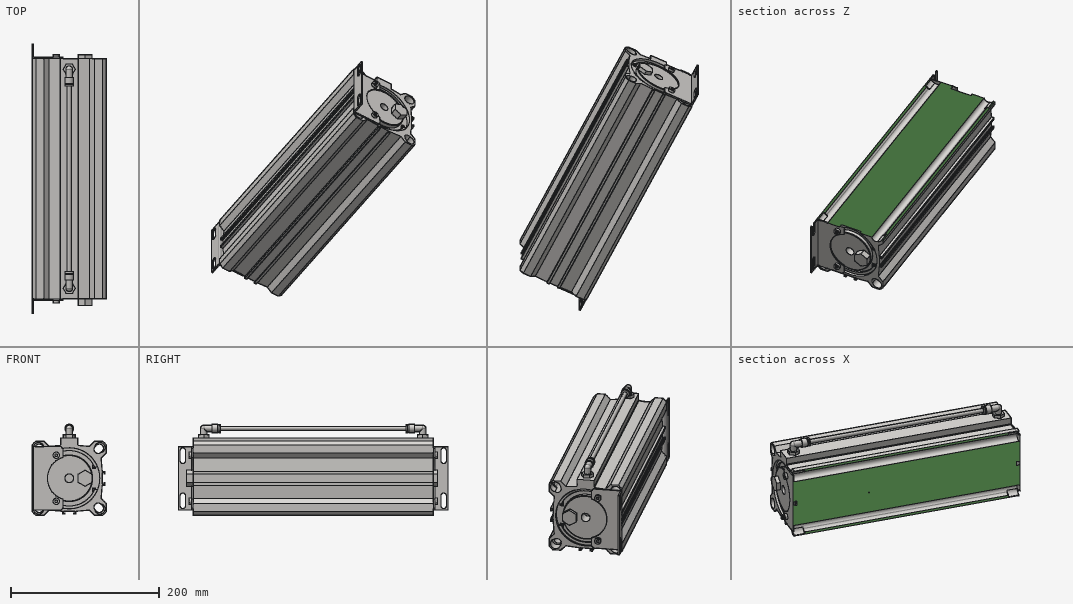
import cadquery as cq
import math

HALF_SIDE = 50.0
BODY_HALF_LENGTH = 161.5
TOTAL_HALF_LENGTH = 362.5 / 2
TOP_Z = 72.8

LUG_CHAMFER = 5.0
LUG_INNER = 34.0
LUG_ROOT = 27.0
FLANK_EDGE = 43.0
FLANK_MID = 44.5
RAIL_INNER = 6.0
RAIL_WIDTH = 3.4
FLAT_HALF_WIDTH = RAIL_INNER + RAIL_WIDTH
RAIL_TIP = 48.2
RAIL_WALL = 1.8
SPINE_HALF_WIDTH = 11.7
SPINE_TOP = 54.4
SPINE_FOOT_CHAMFER = 1.0

BOLT_HOLE_DIAMETER = 11.0
BOLT_HOLE_INNER = 38.9
BOLT_HOLE_OUTER = 40.4
COUNTERBORE_DIAMETER = 13.8
COUNTERBORE_CENTRE = 41.2
COUNTERBORE_DEPTH = 15.0

RECESS_DIAMETER = 82.1
RECESS_DEPTH = 6.0
CAP_DIAMETER = 62.8
CAP_CHAMFER = 0.8
RING_INNER_DIAMETER = 74.6
RING_THICKNESS = 2.5
EAR_SIZE = 4.4
EAR_X = 33.4
EAR_Z = 15.4
EAR_HOLE_DIAMETER = 3.0
PORT_DIAMETER = 11.8
PORT_DEPTH = 20.0
PLUG_X = 21.3
PLUG_FLATS = 18.8
PLUG_HEIGHT_FRONT = 9.0
PLUG_HEIGHT_BACK = 5.3

SHEET = 2.0
BEND_RADIUS = SHEET
BRACKET_HALF_HEIGHT = 42.7
BRACKET_EDGE_X = -8.1
BRACKET_CORNER = 3.0
BRACKET_CUTOUT_RADIUS = 29.3
SLOT_WIDTH = 7.1
SLOT_LENGTH = 20.6
SLOT_Z = 30.3
SLOT_END_DISTANCE = 5.95
SCREW_X = -17.5
SCREW_Z = 31.0
SCREW_DIAMETER = 8.5
SCREW_HEIGHT = 3.5
SOCKET_DIAMETER = 3.6
SOCKET_DEPTH = 1.5

FITTING_Y = 147.2
NUT_FLATS = 14.2
NUT_HEIGHT = 4.3
ELBOW_DIAMETER = 9.0
COLLAR_DIAMETER = 11.8
COLLAR_START = 136.2
COLLAR_END = 128.4
NECK_DIAMETER = 10.4
FLANGE_DIAMETER = 11.44
FLANGE_START = 127.0
FLANGE_END = 124.8
TUBE_DIAMETER = 6.0
TUBE_Z = TOP_Z - COLLAR_DIAMETER / 2

SIGNS = (-1, 1)


def rod(diameter, x, z, y_start, y_end):
    """Cylinder parallel to Y between two Y positions."""
    sketch = cq.Workplane("XZ", origin=(x, y_start, z)).circle(diameter / 2)
    return sketch.extrude(y_start - y_end)


def block(x_range, y_range, z_range):
    """Box given by its limits along each axis."""
    limits = (x_range, y_range, z_range)
    size = [high - low for low, high in limits]
    low_corner = [low for low, high in limits]
    return cq.Workplane("XY").box(*size, centered=False).translate(low_corner)


def mirrored(solid):
    """The solid together with its copy on the other end of the cylinder."""
    return solid.union(solid.mirror("XZ"))


def body_prism(outline):
    """Body-long prism of an outline in the XZ plane."""
    sketch = cq.Workplane("XZ", origin=(0, BODY_HALF_LENGTH, 0)).polyline(outline).close()
    return sketch.extrude(2 * BODY_HALF_LENGTH)


def make_body():
    side = [
        (-FLAT_HALF_WIDTH, FLANK_MID),
        (FLAT_HALF_WIDTH, FLANK_MID),
        (LUG_ROOT, FLANK_EDGE),
        (LUG_INNER, HALF_SIDE),
        (HALF_SIDE - LUG_CHAMFER, HALF_SIDE),
        (HALF_SIDE, HALF_SIDE - LUG_CHAMFER),
        (HALF_SIDE, LUG_INNER),
        (FLANK_EDGE, LUG_ROOT),
    ]
    outline = []
    for quarter in range(4):
        cos = round(math.cos(quarter * math.pi / 2))
        sin = round(math.sin(quarter * math.pi / 2))
        outline += [(x * cos + z * sin, z * cos - x * sin) for x, z in side]
    body = body_prism(outline)

    foot = SPINE_HALF_WIDTH + SPINE_FOOT_CHAMFER
    spine = body_prism([
        (-foot, FLANK_EDGE),
        (-SPINE_HALF_WIDTH, FLANK_MID + SPINE_FOOT_CHAMFER),
        (-SPINE_HALF_WIDTH, SPINE_TOP),
        (SPINE_HALF_WIDTH, SPINE_TOP),
        (SPINE_HALF_WIDTH, FLANK_MID + SPINE_FOOT_CHAMFER),
        (foot, FLANK_EDGE),
    ])
    return body.union(spine)


def make_rails():
    """Pairs of inward-hooked sensor rails on the left, right and bottom sides."""
    rail_outer = RAIL_INNER + RAIL_WIDTH
    hook = [
        (FLANK_EDGE, rail_outer),
        (RAIL_TIP, rail_outer),
        (RAIL_TIP, RAIL_INNER),
        (RAIL_TIP - RAIL_WALL, RAIL_INNER),
        (RAIL_TIP - RAIL_WALL, rail_outer - RAIL_WALL),
        (FLANK_EDGE, rail_outer - RAIL_WALL),
    ]
    rail = body_prism(hook)
    pair = rail.union(rail.mirror("XY"))
    rails = pair
    for angle in (90, 180):
        rails = rails.union(pair.rotate((0, 0, 0), (0, 1, 0), angle))
    return rails


def make_corner_holes():
    holes = cq.Workplane("XY")
    end = BODY_HALF_LENGTH
    floor = end - COUNTERBORE_DEPTH
    for sx in SIGNS:
        for sz in SIGNS:
            for c in (BOLT_HOLE_INNER, BOLT_HOLE_OUTER):
                holes = holes.union(rod(BOLT_HOLE_DIAMETER, sx * c, sz * c, -end, end))
            x = sx * COUNTERBORE_CENTRE
            z = sz * COUNTERBORE_CENTRE
            holes = holes.union(mirrored(rod(COUNTERBORE_DIAMETER, x, z, floor, end)))
    return holes


def make_recess():
    """Ring-shaped recess around the chamfered front cap."""
    start = -BODY_HALF_LENGTH
    end = start + RECESS_DEPTH
    cap = rod(CAP_DIAMETER, 0, 0, start, end).faces("<Y").chamfer(CAP_CHAMFER)
    return rod(RECESS_DIAMETER, 0, 0, start, end).cut(cap)


def make_retaining_ring():
    """Open ring lying on the recess floor, with a holed ear on each side of its gap."""
    end = -BODY_HALF_LENGTH + RECESS_DEPTH
    start = end - RING_THICKNESS
    ring = rod(RECESS_DIAMETER, 0, 0, start, end).cut(rod(RING_INNER_DIAMETER, 0, 0, start, end))
    ring = ring.cut(block((0, RECESS_DIAMETER), (start, end), (-EAR_Z, EAR_Z)))
    for sign in SIGNS:
        z = sign * EAR_Z
        half = EAR_SIZE / 2
        ear = block((EAR_X - half, EAR_X + half), (start, end), (z - half, z + half))
        ring = ring.union(ear.cut(rod(EAR_HOLE_DIAMETER, EAR_X, z, start, end)))
    return ring


def make_plug(height):
    """Hexagonal plug standing on the front cap."""
    corners = PLUG_FLATS / math.cos(math.pi / 6)
    sketch = cq.Workplane("XZ", origin=(PLUG_X, -BODY_HALF_LENGTH, 0))
    return sketch.transformed(rotate=(0, 0, 90)).polygon(6, corners).extrude(height)


def make_bracket():
    """Sheet metal angle on the front end, with slots in its free leg."""
    inner = -BODY_HALF_LENGTH
    face = inner - SHEET
    height = (-BRACKET_HALF_HEIGHT, BRACKET_HALF_HEIGHT)
    plate = block((-HALF_SIDE, BRACKET_EDGE_X), (face, inner), height)
    plate = plate.edges("|Y and >X").chamfer(BRACKET_CORNER)
    plate = plate.cut(rod(2 * BRACKET_CUTOUT_RADIUS, 0, 0, face, inner))
    leg = block((-HALF_SIDE, SHEET - HALF_SIDE), (-TOTAL_HALF_LENGTH, inner), height)
    slots = (
        cq.Workplane("YZ", origin=(-HALF_SIDE, SLOT_END_DISTANCE - TOTAL_HALF_LENGTH, 0))
        .pushPoints([(0, -SLOT_Z), (0, SLOT_Z)])
        .slot2D(SLOT_LENGTH, SLOT_WIDTH, 90)
        .extrude(SHEET)
    )
    bracket = plate.union(leg.cut(slots)).edges("|Z and <X and >Y").fillet(BEND_RADIUS)
    for sign in SIGNS:
        z = sign * SCREW_Z
        top = face - SCREW_HEIGHT
        head = rod(SCREW_DIAMETER, SCREW_X, z, top, face)
        bracket = bracket.union(head.cut(rod(SOCKET_DIAMETER, SCREW_X, z, top, top + SOCKET_DEPTH)))
    return bracket


def make_elbow():
    """Upright stem and horizontal arm on the front fitting, joined by a ball corner."""
    radius = ELBOW_DIAMETER / 2
    stem = cq.Workplane("XY", origin=(0, -FITTING_Y, SPINE_TOP)).circle(radius)
    stem = stem.extrude(TUBE_Z - SPINE_TOP)
    arm = rod(ELBOW_DIAMETER, 0, TUBE_Z, -FITTING_Y, -COLLAR_START)
    ball = cq.Workplane("XY").sphere(radius).translate((0, -FITTING_Y, TUBE_Z))
    return stem.union(arm).union(ball)


def make_fitting():
    """Push-in elbow fitting on the front end of the spine."""
    corners = NUT_FLATS / math.cos(math.pi / 6)
    nut = cq.Workplane("XY", origin=(0, -FITTING_Y, SPINE_TOP)).polygon(6, corners).extrude(NUT_HEIGHT)
    collar = rod(COLLAR_DIAMETER, 0, TUBE_Z, -COLLAR_START, -COLLAR_END)
    neck = rod(NECK_DIAMETER, 0, TUBE_Z, -COLLAR_END, -FLANGE_START)
    flange = rod(FLANGE_DIAMETER, 0, TUBE_Z, -FLANGE_START, -FLANGE_END)
    return nut.union(make_elbow()).union(collar).union(neck).union(flange)


result = make_body().union(make_rails()).cut(make_corner_holes())
result = result.cut(mirrored(make_recess())).union(mirrored(make_retaining_ring()))
port = rod(PORT_DIAMETER, 0, 0, -BODY_HALF_LENGTH, PORT_DEPTH - BODY_HALF_LENGTH)
result = result.cut(mirrored(port))
result = result.union(mirrored(make_bracket()))
result = result.union(make_plug(PLUG_HEIGHT_FRONT)).union(make_plug(PLUG_HEIGHT_BACK).mirror("XZ"))
result = result.union(mirrored(make_fitting()))
result = result.union(rod(TUBE_DIAMETER, 0, TUBE_Z, -FLANGE_END, FLANGE_END))